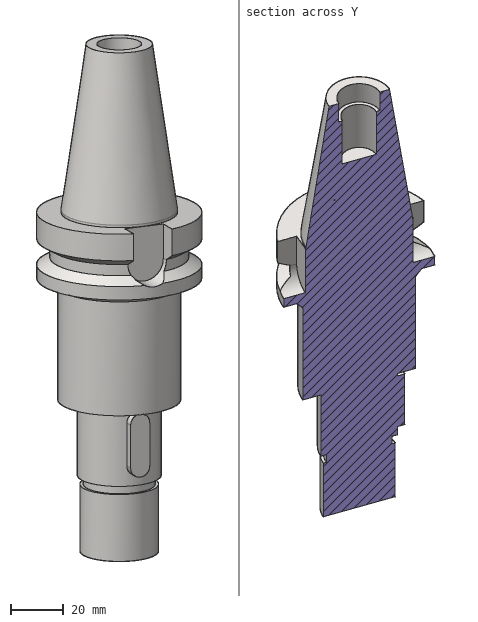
import cadquery as cq
import math

TAPER_TOP = 65.4
FLANGE_TOP = -1.0
FLANGE_BOTTOM = -27.0
BODY_BOTTOM = -75.0
PILOT_BOTTOM = -105.0
TOOL_END = -135.0

TAPER_RATIO = 7 / 24
GAUGE_DIAMETER = 44.45
TAPER_TOP_DIAMETER = GAUGE_DIAMETER - TAPER_RATIO * TAPER_TOP

FLANGE_DIAMETER = 63.0
GROOVE_DIAMETER = 53.0
GROOVE_CENTRE = -16.6
GROOVE_FLOOR_WIDTH = 4.4
GROOVE_FLANK_ANGLE = math.radians(30)
COLLAR_DIAMETER = 52.0
COLLAR_HEIGHT = 3.0

BODY_DIAMETER = 47.0
PILOT_DIAMETER = 32.0
NECK_DIAMETER = 27.5
NECK_LENGTH = 3.5
THREAD_DIAMETER = 30.0

SLOT_WIDTH = 16.1
SLOT_FLOOR_DISTANCE = 22.5
SLOT_DEPTH = 21.6

KEY_WIDTH = 8.0
KEY_LENGTH = 25.0
KEY_TOP_GAP = 1.0
KEY_FACE_DISTANCE = 19.0

BORE_DIAMETER = 17.0
BORE_DEPTH = 9.0
THREAD_HOLE_DIAMETER = 14.0
THREAD_HOLE_DEPTH = 30.0


def make_turned_body():
    """Half section of the taper, flange and arbor revolved about Z."""
    flange_radius = FLANGE_DIAMETER / 2
    groove_radius = GROOVE_DIAMETER / 2
    flank_height = (flange_radius - groove_radius) * math.tan(GROOVE_FLANK_ANGLE)
    floor_top = GROOVE_CENTRE + GROOVE_FLOOR_WIDTH / 2
    floor_bottom = GROOVE_CENTRE - GROOVE_FLOOR_WIDTH / 2
    collar_bottom = FLANGE_BOTTOM - COLLAR_HEIGHT
    neck_bottom = PILOT_BOTTOM - NECK_LENGTH
    section = [
        (0, TAPER_TOP),
        (TAPER_TOP_DIAMETER / 2, TAPER_TOP),
        (GAUGE_DIAMETER / 2, 0),
        (GAUGE_DIAMETER / 2, FLANGE_TOP),
        (flange_radius, FLANGE_TOP),
        (flange_radius, floor_top + flank_height),
        (groove_radius, floor_top),
        (groove_radius, floor_bottom),
        (flange_radius, floor_bottom - flank_height),
        (flange_radius, FLANGE_BOTTOM),
        (COLLAR_DIAMETER / 2, FLANGE_BOTTOM),
        (BODY_DIAMETER / 2, collar_bottom),
        (BODY_DIAMETER / 2, BODY_BOTTOM),
        (PILOT_DIAMETER / 2, BODY_BOTTOM),
        (PILOT_DIAMETER / 2, PILOT_BOTTOM),
        (NECK_DIAMETER / 2, PILOT_BOTTOM),
        (NECK_DIAMETER / 2, neck_bottom),
        (THREAD_DIAMETER / 2, neck_bottom),
        (THREAD_DIAMETER / 2, TOOL_END),
        (0, TOOL_END),
    ]
    return cq.Workplane("XZ").polyline(section).close().revolve(360, (0, 0), (0, 1))


def make_drive_slot(side):
    """Round-bottomed slot on the +X (side = 1) or -X (side = -1) face of the flange."""
    radius = SLOT_WIDTH / 2
    slot_bottom = FLANGE_TOP - SLOT_DEPTH
    arc_start = slot_bottom + radius
    return (
        cq.Workplane("YZ", origin=(side * SLOT_FLOOR_DISTANCE, 0, 0))
        .moveTo(-radius, FLANGE_TOP)
        .lineTo(-radius, arc_start)
        .threePointArc((0, slot_bottom), (radius, arc_start))
        .lineTo(radius, FLANGE_TOP)
        .close()
        .extrude(side * FLANGE_DIAMETER / 2)
    )


def make_key():
    """Round-ended key standing out of the +X side of the pilot."""
    key_centre = BODY_BOTTOM - KEY_TOP_GAP - KEY_LENGTH / 2
    return (
        cq.Workplane("YZ", origin=(0, 0, key_centre))
        .slot2D(KEY_LENGTH, KEY_WIDTH, 90)
        .extrude(KEY_FACE_DISTANCE)
    )


def make_drawbar_hole():
    """Plain bore with a narrower blind hole below it, from the small end of the taper."""
    top = cq.Workplane("XY", origin=(0, 0, TAPER_TOP))
    bore = top.circle(BORE_DIAMETER / 2).extrude(-BORE_DEPTH)
    thread_hole = top.circle(THREAD_HOLE_DIAMETER / 2).extrude(-THREAD_HOLE_DEPTH)
    return bore.union(thread_hole)


result = make_turned_body().union(make_key())
for slot_side in (1, -1):
    result = result.cut(make_drive_slot(slot_side))
result = result.cut(make_drawbar_hole())